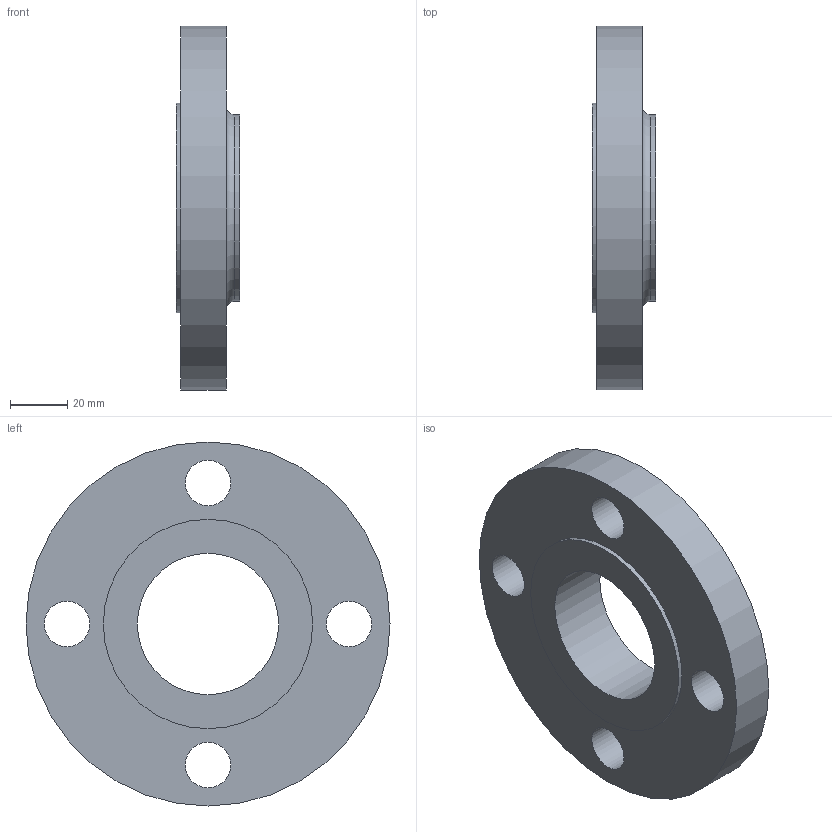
import cadquery as cq

INCH = 25.4

flange_diameter = 5 * INCH
overall_length = 7 / 8 * INCH
raised_face_height = INCH / 16
flange_thickness = 5 / 8 * INCH
hub_length = overall_length - raised_face_height - flange_thickness

raised_face_diameter = (2 + 7 / 8) * INCH
hub_diameter = 65.1
hub_fillet_radius = 3.0
bore_diameter = 49.3

bolt_count = 4
bolt_circle_diameter = (3 + 7 / 8) * INCH
bolt_hole_diameter = 5 / 8 * INCH

flange_front = raised_face_height
flange_back = flange_front + flange_thickness


def disc(diameter, start, length):
    """Solid disc on the X axis, running from start toward +X."""
    return cq.Workplane("YZ", origin=(start, 0, 0)).circle(diameter / 2).extrude(length)


def flange_body():
    """Raised face, flange plate and hub, with a fillet where hub meets plate."""
    plate = disc(flange_diameter, flange_front, flange_thickness)
    hub = disc(hub_diameter, flange_back, hub_length)
    raised_face = disc(raised_face_diameter, 0, raised_face_height)
    root_reach = hub_diameter / 2 + hub_fillet_radius
    root_edge = cq.selectors.BoxSelector(
        (flange_back - hub_length / 2, -root_reach, -root_reach),
        (flange_back + hub_length / 2, root_reach, root_reach),
        boundingbox=True,
    )
    plate_and_hub = plate.union(hub).edges("%CIRCLE").edges(root_edge).fillet(hub_fillet_radius)
    return plate_and_hub.union(raised_face)


def bolt_holes():
    """Cutters for the bolt holes, evenly spaced with the first one on the Y axis."""
    return (
        cq.Workplane("YZ")
        .polarArray(bolt_circle_diameter / 2, 0, 360, bolt_count)
        .circle(bolt_hole_diameter / 2)
        .extrude(overall_length)
    )


bore = disc(bore_diameter, 0, overall_length)
result = flange_body().cut(bore).cut(bolt_holes())